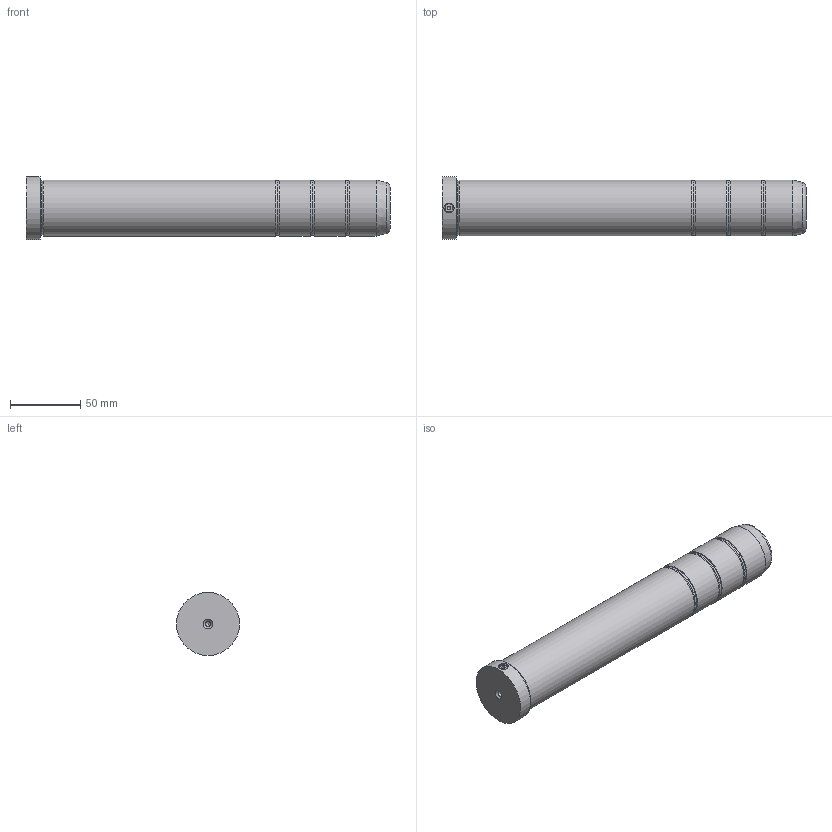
import cadquery as cq
import math

total_length = 260.0
head_diameter = 45.0
head_length = 10.0
shaft_diameter = 40.0

undercut_depth = 0.7
undercut_length = 2.4
undercut_ramp_length = 1.0

groove_count = 3
groove_pitch = 25.0
groove_width = 3.0
groove_ramp_length = 1.5
groove_depth = 0.7
first_groove_start = 178.0

nose_length = 10.0
nose_angle = 13.0
nose_edge_radius = 3.5

end_hole_diameter = 3.6
end_countersink_diameter = 6.7

rim_bore_diameter = 5.8
rim_countersink_diameter = 7.2
rim_bore_depth = 1.2
rim_pilot_diameter = 2.6

hole_depth = 10.0
drill_tip_angle = 118.0
countersink_angle = 90.0

head_radius = head_diameter / 2
shaft_radius = shaft_diameter / 2

AXIS_START = (0, 0, 0)
AXIS_END = (1, 0, 0)


def make_body():
    """Revolve the head, undercut, shaft and tapered nose about X, then round the tip."""
    undercut_radius = shaft_radius - undercut_depth
    undercut_end = head_length + undercut_length
    nose_tip_radius = shaft_radius - nose_length * math.tan(math.radians(nose_angle))
    profile = (
        cq.Workplane("XY")
        .moveTo(0, 0)
        .lineTo(0, head_radius)
        .lineTo(head_length, head_radius)
        .lineTo(head_length, undercut_radius)
        .lineTo(undercut_end - undercut_ramp_length, undercut_radius)
        .lineTo(undercut_end, shaft_radius)
        .lineTo(total_length - nose_length, shaft_radius)
        .lineTo(total_length, nose_tip_radius)
        .lineTo(total_length, 0)
        .close()
    )
    body = profile.revolve(360, AXIS_START, AXIS_END)
    return body.faces(">X").edges().fillet(nose_edge_radius)


def make_groove(start_x):
    """Ring cutter for one groove, beginning at start_x on the shaft surface."""
    floor_radius = shaft_radius - groove_depth
    end_x = start_x + groove_width
    section = (
        cq.Workplane("XY")
        .moveTo(start_x, shaft_radius)
        .lineTo(start_x + groove_ramp_length, floor_radius)
        .lineTo(end_x, floor_radius)
        .lineTo(end_x, head_radius)
        .lineTo(start_x, head_radius)
        .close()
    )
    return section.revolve(360, AXIS_START, AXIS_END)


def cone_height(large_radius, small_radius, full_angle):
    """Axial length of a cone frustum with the given included angle."""
    return (large_radius - small_radius) / math.tan(math.radians(full_angle / 2))


def make_end_hole():
    """Cutter for the countersunk blind hole that enters the head face along the pin axis."""
    radius = end_hole_diameter / 2
    countersink_radius = end_countersink_diameter / 2
    section = (
        cq.Workplane("XY")
        .moveTo(0, 0)
        .lineTo(0, countersink_radius)
        .lineTo(cone_height(countersink_radius, radius, countersink_angle), radius)
        .lineTo(hole_depth, radius)
        .lineTo(hole_depth + cone_height(radius, 0, drill_tip_angle), 0)
        .close()
    )
    return section.revolve(360, AXIS_START, AXIS_END)


def make_rim_hole():
    """Cutter for the stepped hole that opens at the top of the head rim and runs along -Z."""
    bore_radius = rim_bore_diameter / 2
    pilot_radius = rim_pilot_diameter / 2
    countersink_radius = rim_countersink_diameter / 2
    section = (
        cq.Workplane("XY")
        .moveTo(0, 0)
        .lineTo(0, countersink_radius)
        .lineTo(cone_height(countersink_radius, bore_radius, countersink_angle), bore_radius)
        .lineTo(rim_bore_depth, bore_radius)
        .lineTo(rim_bore_depth, pilot_radius)
        .lineTo(hole_depth, pilot_radius)
        .lineTo(hole_depth + cone_height(pilot_radius, 0, drill_tip_angle), 0)
        .close()
    )
    return (
        section.revolve(360, AXIS_START, AXIS_END)
        .rotate((0, 0, 0), (0, 1, 0), 90)
        .translate((head_length / 2, 0, head_radius))
    )


result = make_body()
for index in range(groove_count):
    result = result.cut(make_groove(first_groove_start + index * groove_pitch))
result = result.cut(make_end_hole())
result = result.cut(make_rim_hole())